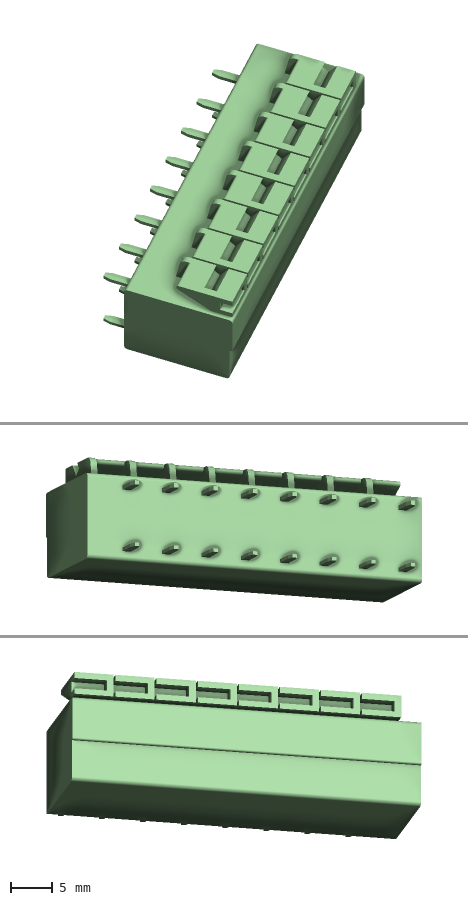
import cadquery as cq
import math


pole_count = 8
row_span = 35.6
pitch = row_span / (pole_count - 1)
overlap = 0.2

length = 43.2
body_width = 14.08
body_height = 10.55
step_depth = 0.4
step_height = 5.1
corner_radius = 0.47
step_radius = 0.2

lever_top = 13.7
lever_underside = 10.92
lever_end = 13.95
lever_width = 4.85
first_lever_inset = 2.5
ramp_foot = 11.2
ramp_apex = 5.53
nose_radius = 0.35

web_thickness = 0.8
web_foot = 5.0
web_shoulder = 5.65
web_heel = 10.85
web_radius = 1.0

slot_left = 9.97
slot_right = 11.57
slot_corner_x = 10.4
slot_corner_depth = 1.55
slot_length = 3.95

pocket_start = 12.35
pocket_floor = 11.6
pocket_roof = 12.9

pin_length = 3.55
pin_width = 1.05
pin_tip_width = 0.55
pin_taper = 0.95
first_pin_inset = 5.05
upper_pin_height = 9.0
upper_pin_thickness = 0.5
lower_pin_height = 1.4
lower_pin_thickness = 0.45


def prism(points, y_high, depth):
    """Solid with an X-Z outline, from y_high down towards -Y by depth."""
    return cq.Workplane("XZ", origin=(0, y_high, 0)).polyline(points).close().extrude(depth)


def corner(x, z):
    """Select the Y-parallel edge of a prism nearest to a corner."""
    return cq.selectors.NearestToPointSelector((x, 0, z))


def make_body():
    step_x = body_width - step_depth
    outline = [
        (0, 0),
        (step_x, 0),
        (step_x, step_height),
        (body_width, step_height),
        (body_width, body_height),
        (0, body_height),
    ]
    body = prism(outline, length / 2, length)
    for x, z in [(0, 0), (step_x, 0), (body_width, body_height), (0, body_height)]:
        body = body.edges("|Y").edges(corner(x, z)).fillet(corner_radius)
    return body.edges("|Y").edges(corner(body_width, step_height)).fillet(step_radius)


def make_lever():
    """One lever with its +Y side at Y = 0."""
    arm_outline = [
        (ramp_apex, lever_top),
        (ramp_foot, lever_underside),
        (lever_end, lever_underside),
        (lever_end, lever_top),
    ]
    arm = prism(arm_outline, 0, lever_width).edges("|Y and <X").fillet(nose_radius)

    web_base = body_height - overlap
    web_outline = [
        (web_foot, web_base),
        (web_heel, web_base),
        (web_heel, lever_underside),
        (ramp_foot, lever_underside),
        (ramp_foot, lever_top),
        (web_shoulder, lever_top),
    ]
    web = prism(web_outline, 0, web_thickness)
    web = web.edges("|Y").edges(corner(web_shoulder, lever_top)).fillet(web_radius)

    slant = math.atan2(slot_corner_depth, slot_right - slot_corner_x)
    slot_width = (slot_right - slot_left) * math.sin(slant)
    slot_corner_z = lever_top - slot_corner_depth
    slot_outline = [
        (slot_left, lever_top),
        (slot_corner_x - slot_width * math.sin(slant), slot_corner_z + slot_width * math.cos(slant)),
        (slot_corner_x, slot_corner_z),
        (slot_right, lever_top),
    ]
    slot = prism(slot_outline, 0, slot_length)

    pocket_outline = [
        (pocket_start, pocket_floor),
        (lever_end, pocket_floor),
        (lever_end, pocket_roof),
        (pocket_start, pocket_roof),
    ]
    pocket = prism(pocket_outline, -web_thickness, lever_width - web_thickness)
    return arm.union(web).cut(slot).cut(pocket)


def make_pin(height, thickness):
    """One flat pin with a tapered tip, centred on Y = 0."""
    taper_x = pin_taper - pin_length
    outline = [
        (overlap, -pin_width / 2),
        (taper_x, -pin_width / 2),
        (-pin_length, -pin_tip_width / 2),
        (-pin_length, pin_tip_width / 2),
        (taper_x, pin_width / 2),
        (overlap, pin_width / 2),
    ]
    base = cq.Workplane("XY", origin=(0, 0, height - thickness / 2))
    return base.polyline(outline).close().extrude(thickness)


lever = make_lever()
upper_pin = make_pin(upper_pin_height, upper_pin_thickness)
lower_pin = make_pin(lower_pin_height, lower_pin_thickness)

result = make_body()
for pole in range(pole_count):
    pole_y = length / 2 - pole * pitch
    result = result.union(lever.translate((0, pole_y - first_lever_inset, 0)))
    for pin in (upper_pin, lower_pin):
        result = result.union(pin.translate((0, pole_y - first_pin_inset, 0)))